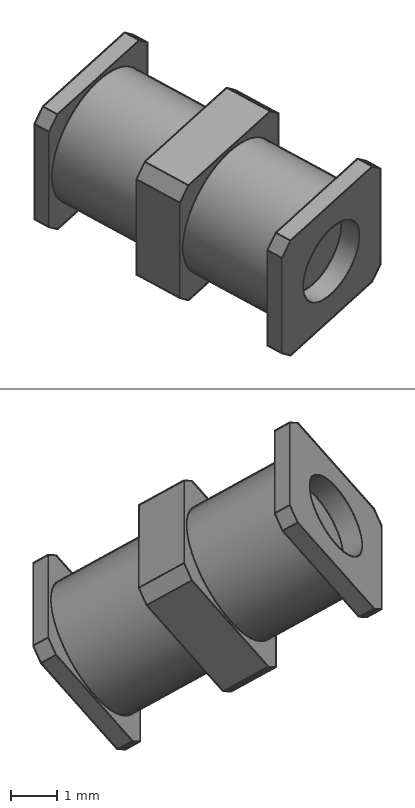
import cadquery as cq

length = 6.8
flange_width = 3.5
corner_chamfer = 0.3

end_thickness = 0.4
middle_thickness = 1.2

body_diameter = 3.3
recess_diameter = 2.0
recess_depth = 0.5


def cylinder(diameter, start_x, height):
    """Cylinder along X, starting at start_x."""
    return cq.Workplane("YZ", origin=(start_x, 0, 0)).circle(diameter / 2).extrude(height)


def flange(center_x, thickness):
    """Square plate across X with its four corners chamfered."""
    plate = cq.Workplane("XY").box(thickness, flange_width, flange_width)
    return plate.edges("|X").chamfer(corner_chamfer).translate((center_x, 0, 0))


result = cylinder(body_diameter, -length / 2, length)
result = result.union(flange(0, middle_thickness))

end_center = (length - end_thickness) / 2
for side in (-1, 1):
    result = result.union(flange(side * end_center, end_thickness))

for side in (-1, 1):
    result = result.cut(cylinder(recess_diameter, side * length / 2, -side * recess_depth))